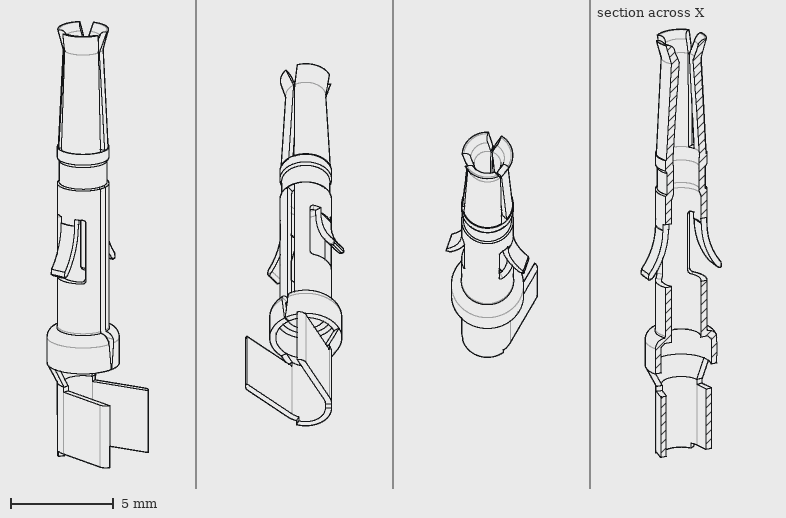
import cadquery as cq
import math

wall = 0.3
body_radius = 1.25
neck_radius = 1.17
collar_radius = 1.75
body_bore = body_radius - wall

lip_top = 0.25
wing_top = 3.43
cup_top = 3.69
collar_bottom = 4.67
shoulder_bottom = 6.0
shoulder_foot_width = 0.02
shoulder_foot_height = 0.09
body_top = 13.85
body_edge = 0.07
ring_bottom = 15.02
ring_edge = 0.15
tine_bottom = 15.7
tine_neck = 20.7
overall_height = 21.7

shoulder_radius = collar_radius - body_radius - shoulder_foot_width
shoulder_top = shoulder_bottom + shoulder_radius
shoulder_inside = shoulder_top - wall

tine_count = 3
tine_wall = 0.33
tine_root_radius = 1.22
tine_neck_radius = 0.98
flare_radius = 1.24
rim_width = 0.09
lip_depth = 0.35
lip_bulge = 0.07
slot_root_width = 0.33
slot_neck_width = 0.07
slot_mouth_width = 0.67

seam_width = 0.4
seam_closed_width = 0.05

window_bottom = 9.1
window_top = 12.35
window_half_angle = 45.0
window_corner_radius = 0.2
tab_width = 0.82
tab_bend_height = 12.02
tab_face = 1.2
tab_bend_radius = 3.47
tab_bend_angle = 38.5
tab_tip_span = 3.97
tab_tip_reach = tab_tip_span / 2
tab_tip_height = 9.61
tab_end_height = 9.53
tab_end_width = 0.09
tab_corner_radius = 0.1

wing_angle = 10.5
wing_bend_x = 2.43
wing_tip_x = 2.85
lip_half_angle = 56.0
neck_edge_top_x = -0.37
neck_edge_bottom_x = -0.2

reach = 3 * collar_radius


def polar(radius, degrees):
    """Point at the given radius and angle from the +X direction."""
    angle = math.radians(degrees)
    return (radius * math.cos(angle), radius * math.sin(angle))


def sector(half_angle, bottom, top, direction):
    """Wedge about the Z axis, centred on a direction angle."""
    corner_radius = reach / math.cos(math.radians(half_angle))
    return (
        cq.Workplane("XY", origin=(0, 0, bottom))
        .moveTo(0, 0)
        .lineTo(*polar(corner_radius, direction - half_angle))
        .lineTo(*polar(corner_radius, direction + half_angle))
        .close()
        .extrude(top - bottom)
    )


def make_shell():
    """Hollow turned form: collar, body, neck, ring and flared tines."""
    foot_radius = body_radius + shoulder_foot_width
    arc_reach = shoulder_radius * math.sqrt(0.5)
    collar_bore = collar_radius - wall
    flare_bore = flare_radius - tine_wall
    neck_bore = tine_neck_radius - tine_wall
    lip_share = 1 - lip_depth / (overall_height - tine_neck)
    lip_start = (neck_bore + (flare_bore - neck_bore) * lip_share, overall_height - lip_depth)
    lip_end = (flare_radius - rim_width, overall_height)
    lip_middle = (
        (lip_start[0] + lip_end[0]) / 2 - lip_bulge,
        (lip_start[1] + lip_end[1]) / 2 + lip_bulge,
    )
    return (
        cq.Workplane("XZ")
        .moveTo(collar_radius, collar_bottom)
        .lineTo(collar_radius, shoulder_bottom)
        .threePointArc(
            (foot_radius + arc_reach, shoulder_bottom + arc_reach),
            (foot_radius, shoulder_top),
        )
        .lineTo(body_radius, shoulder_top + shoulder_foot_height)
        .lineTo(body_radius, body_top)
        .lineTo(neck_radius, body_top + body_edge)
        .lineTo(neck_radius, ring_bottom)
        .lineTo(body_radius, ring_bottom + ring_edge)
        .lineTo(body_radius, tine_bottom)
        .lineTo(tine_root_radius, tine_bottom)
        .lineTo(tine_neck_radius, tine_neck)
        .lineTo(flare_radius, overall_height)
        .lineTo(*lip_end)
        .threePointArc(lip_middle, lip_start)
        .lineTo(neck_bore, tine_neck)
        .lineTo(tine_root_radius - tine_wall, tine_bottom)
        .lineTo(neck_radius - wall, ring_bottom)
        .lineTo(neck_radius - wall, body_top)
        .lineTo(body_bore, body_top - wall)
        .lineTo(body_bore, shoulder_inside)
        .lineTo(foot_radius, shoulder_inside)
        .lineTo(collar_bore, shoulder_bottom)
        .lineTo(collar_bore, collar_bottom)
        .close()
        .revolve(360, (0, 0, 0), (0, 1, 0))
    )


def make_tine_slot(direction):
    """Radial slot that narrows up to the tine neck and opens at the flare."""
    half_root = slot_root_width / 2
    half_neck = slot_neck_width / 2
    half_mouth = slot_mouth_width / 2
    return (
        cq.Workplane("YZ")
        .polyline([
            (-half_root, tine_bottom),
            (half_root, tine_bottom),
            (half_neck, tine_neck),
            (half_mouth, overall_height),
            (-half_mouth, overall_height),
            (-half_neck, tine_neck),
        ])
        .close()
        .extrude(reach)
        .rotate((0, 0, 0), (0, 0, 1), direction)
    )


def make_seam():
    """Open seam along the body that closes towards the collar bottom."""
    half_open = seam_width / 2
    half_closed = seam_closed_width / 2
    return (
        cq.Workplane("YZ")
        .polyline([
            (-half_closed, collar_bottom),
            (half_closed, collar_bottom),
            (half_open, shoulder_inside),
            (half_open, body_top),
            (-half_open, body_top),
            (-half_open, shoulder_inside),
        ])
        .close()
        .extrude(reach)
    )


def make_window():
    """Window in the +Y wall, leaving the root of the locking tab in place."""
    spread = math.tan(math.radians(window_half_angle))
    inner_y = body_bore / 2
    opening = (
        cq.Workplane("XY", origin=(0, 0, window_bottom))
        .polyline([
            (-inner_y * spread, inner_y),
            (inner_y * spread, inner_y),
            (reach * spread, reach),
            (-reach * spread, reach),
        ])
        .close()
        .extrude(window_top - window_bottom)
        .edges("not(|Z or |X)")
        .fillet(window_corner_radius)
    )
    tab_root = (
        cq.Workplane("XY", origin=(0, 0, tab_bend_height))
        .rect(tab_width, 2 * reach)
        .extrude(window_top - tab_bend_height)
    )
    return opening.cut(tab_root)


def make_tab():
    """Locking tab on the +Y side, curving outwards as it goes down."""
    centre_y = tab_face + tab_bend_radius

    def bend_point(radius, angle):
        y, drop = polar(radius, angle)
        return (centre_y - y, tab_bend_height - drop)

    inner_radius = tab_bend_radius + wall
    strip = (
        cq.Workplane("YZ", origin=(-tab_width / 2, 0, 0))
        .moveTo(*bend_point(tab_bend_radius, 0))
        .threePointArc(
            bend_point(tab_bend_radius, tab_bend_angle / 2),
            bend_point(tab_bend_radius, tab_bend_angle),
        )
        .lineTo(tab_tip_reach, tab_tip_height)
        .lineTo(tab_tip_reach - tab_end_width, tab_end_height)
        .lineTo(*bend_point(inner_radius, tab_bend_angle))
        .threePointArc(
            bend_point(inner_radius, tab_bend_angle / 2),
            bend_point(inner_radius, 0),
        )
        .close()
        .extrude(tab_width)
    )
    rounded_outline = (
        cq.Workplane("XY", origin=(0, 0, tab_end_height))
        .rect(tab_width, 2 * reach)
        .extrude(tab_bend_height - tab_end_height)
        .faces("<Z")
        .edges("|Y")
        .fillet(tab_corner_radius)
    )
    return strip.intersect(rounded_outline)


def make_transition():
    """Half-cone sheet that joins the collar to the crimp cup."""
    cone = (
        cq.Workplane("XZ")
        .polyline([
            (body_bore, cup_top),
            (body_radius, cup_top),
            (collar_radius, collar_bottom),
            (collar_radius - wall, collar_bottom),
        ])
        .close()
        .revolve(360, (0, 0, 0), (0, 1, 0))
    )
    kept_side = (
        cq.Workplane("XZ", origin=(0, reach, 0))
        .polyline([
            (-reach, cup_top),
            (neck_edge_bottom_x, cup_top),
            (neck_edge_top_x, collar_bottom),
            (-reach, collar_bottom),
        ])
        .close()
        .extrude(2 * reach)
    )
    return cone.intersect(kept_side)


def make_cup():
    """Round back of the crimp barrel, with a narrower lip at the bottom."""
    half_angle = 90 - wing_angle
    tube = cq.Workplane("XY").circle(body_radius).circle(body_bore).extrude(cup_top)
    back = sector(half_angle, lip_top, cup_top, 180)
    lip = sector(lip_half_angle, 0, lip_top, 180)
    return tube.intersect(back.union(lip))


def make_wing():
    """Flat crimp wing on the +Y side, tangent to the cup."""
    root_angle = 90 + wing_angle
    slope = math.tan(math.radians(wing_angle))
    outer_root = polar(body_radius, root_angle)
    inner_root = polar(body_bore, root_angle)
    bend_y = outer_root[1] + slope * (wing_bend_x - outer_root[0])
    tip_y = inner_root[1] + slope * (wing_tip_x - inner_root[0])
    return (
        cq.Workplane("XY", origin=(0, 0, lip_top))
        .moveTo(*inner_root)
        .lineTo(*outer_root)
        .lineTo(wing_bend_x, bend_y)
        .tangentArcPoint((wing_tip_x, tip_y), relative=False)
        .close()
        .extrude(wing_top - lip_top)
    )


shell = make_shell().cut(make_seam())
for slot_index in range(tine_count):
    shell = shell.cut(make_tine_slot(slot_index * 360 / tine_count))
window = make_window()
shell = shell.cut(window).cut(window.mirror("XZ"))

result = shell.union(make_transition()).union(make_cup())
for side_feature in (make_tab(), make_wing()):
    result = result.union(side_feature).union(side_feature.mirror("XZ"))